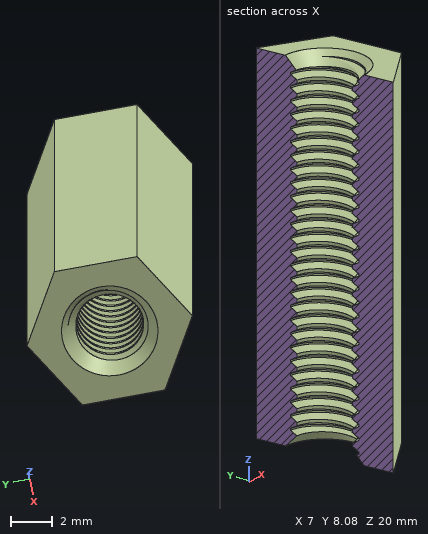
import cadquery as cq
import math

length = 20.0
across_flats = 7.0
across_corners = across_flats / math.cos(math.radians(30))

major_diameter = 4.0
minor_diameter = 3.25
pitch = 0.7
flank_slope = math.tan(math.radians(30))
root_width = pitch / 8
thread_start_angle = 124.0
thread_start_height = -0.4
segment_turns = 5
bore_overlap = 0.05
bore_seam_angle = 77.0

countersink_diameter = 4.62
countersink_angle = 90.0


def make_hex_body():
    return (
        cq.Workplane("XY")
        .polygon(6, across_corners)
        .extrude(length)
        .rotate((0, 0, 0), (0, 0, 1), 30)
    )


def make_bore():
    """Minor-diameter bore flaring into a cone at both ends."""
    bore_radius = minor_diameter / 2
    mouth_radius = countersink_diameter / 2
    depth = (mouth_radius - bore_radius) / math.tan(math.radians(countersink_angle / 2))
    outline = [
        (0, 0),
        (mouth_radius, 0),
        (bore_radius, depth),
        (bore_radius, length - depth),
        (mouth_radius, length),
        (0, length),
    ]
    bore = cq.Workplane("XZ").polyline(outline).close().revolve(360, (0, 0, 0), (0, 1, 0))
    return bore.rotate((0, 0, 0), (0, 0, 1), bore_seam_angle)


def make_groove_segment():
    """A few full turns of the helical groove, placed at the start of the thread."""
    root_radius = major_diameter / 2
    inner_radius = minor_diameter / 2 - bore_overlap
    root_half = root_width / 2
    inner_half = root_half + (root_radius - inner_radius) * flank_slope
    profile = [
        (inner_radius, -inner_half),
        (root_radius, -root_half),
        (root_radius, root_half),
        (inner_radius, inner_half),
    ]
    helix = cq.Wire.makeHelix(pitch, segment_turns * pitch, root_radius)
    groove = cq.Workplane("XZ").polyline(profile).close().sweep(cq.Workplane(helix), isFrenet=True)
    return groove.translate((0, 0, thread_start_height)).rotate((0, 0, 0), (0, 0, 1), thread_start_angle)


def cut_thread(body):
    """Cut the groove past both ends, as short segments that join end to end."""
    segment = make_groove_segment()
    segment_height = segment_turns * pitch
    segment_count = math.ceil((length - thread_start_height) / segment_height)
    for index in range(segment_count):
        body = body.cut(segment.translate((0, 0, index * segment_height)))
    return body


result = cut_thread(make_hex_body().cut(make_bore()))